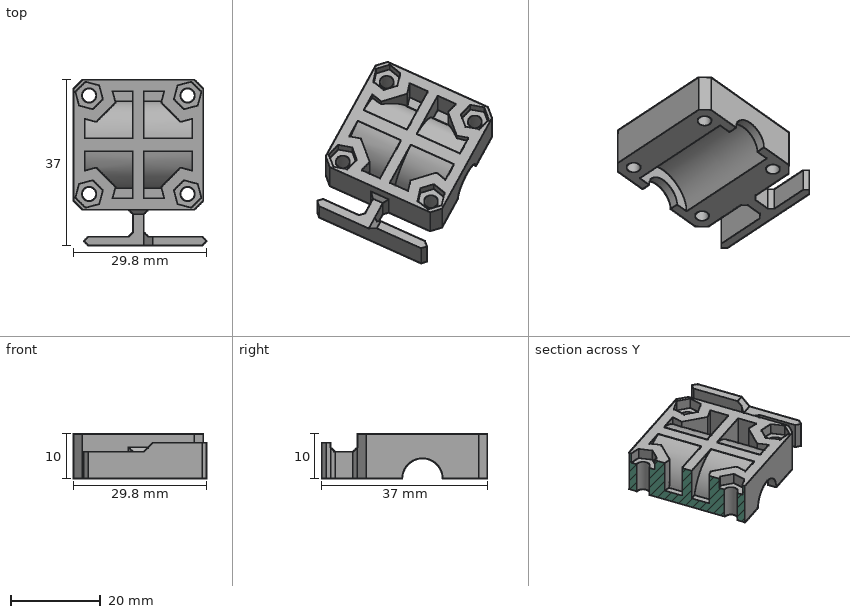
import cadquery as cq

body_side = 29.0
body_height = 10.0
corner_chamfer = 2.0

wall = 2.5
pocket_span = body_side - 2 * wall
shell_radius = body_height
bearing_radius = 7.5
bearing_end_wall = 2.07
bearing_length = body_side - 2 * bearing_end_wall
shaft_radius = 4.48

screw_spacing = 21.98
screw_diameter = 3.1
nut_corner_diameter = 6.35
nut_depth = 2.5
nut_tilt = 15.0
nut_boss_diameter = 12.2

rib_along_x = 2.95
rib_along_y = 2.45
pocket_floor = 2.5

flange_reach = 8.0
plate_thickness = 2.0
plate_left = -12.17
plate_right = 15.25
stem_width = 2.45
stem_height = 6.0
plate_step = 2.0
flare = 1.0

body_front = -body_side / 2
plate_front = body_front - flange_reach
plate_back = plate_front + plate_thickness
stem_half = stem_width / 2


def at_corners(make_shape):
    """Union of make_shape(x_sign, y_sign) over the four corners."""
    shapes = cq.Workplane("XY")
    for x_sign in (-1, 1):
        for y_sign in (-1, 1):
            shapes = shapes.union(make_shape(x_sign, y_sign))
    return shapes


def corner_hexagon(x_sign, y_sign, diameter, bottom):
    """Hexagonal prism on a screw axis, from bottom to the top face, turned so a flat faces the centre."""
    return (
        cq.Workplane("XY")
        .polygon(6, diameter)
        .extrude(body_height - bottom)
        .rotate((0, 0, 0), (0, 0, 1), x_sign * y_sign * nut_tilt)
        .translate((x_sign * screw_spacing / 2, y_sign * screw_spacing / 2, bottom))
    )


def cylinder_x(radius, length):
    """Cylinder along X, centred on the origin."""
    return cq.Workplane("YZ").circle(radius).extrude(length / 2, both=True)


def make_pockets():
    """Four pockets that stop at the bearing shell, the nut bosses and the floor."""
    depth = body_height - pocket_floor
    base = cq.Workplane("XY", origin=(0, 0, pocket_floor))
    pockets = base.rect(pocket_span, pocket_span).extrude(depth)
    pockets = pockets.cut(base.rect(pocket_span, rib_along_x).extrude(depth))
    pockets = pockets.cut(base.rect(rib_along_y, pocket_span).extrude(depth))
    nut_bosses = at_corners(
        lambda x_sign, y_sign: corner_hexagon(x_sign, y_sign, nut_boss_diameter, 0)
    )
    pockets = pockets.cut(nut_bosses)
    return pockets.cut(cylinder_x(shell_radius, body_side))


def make_body():
    body = cq.Workplane("XY").rect(body_side, body_side).extrude(body_height)
    body = body.edges("|Z").chamfer(corner_chamfer)
    body = body.cut(make_pockets())
    body = body.cut(cylinder_x(bearing_radius, bearing_length))
    body = body.cut(cylinder_x(shaft_radius, body_side))
    nut_floor = body_height - nut_depth
    nut_traps = at_corners(
        lambda x_sign, y_sign: corner_hexagon(x_sign, y_sign, nut_corner_diameter, nut_floor)
    )
    body = body.cut(nut_traps)
    screws = (
        cq.Workplane("XY")
        .rect(screw_spacing, screw_spacing, forConstruction=True)
        .vertices()
        .circle(screw_diameter / 2)
        .extrude(body_height)
    )
    return body.cut(screws)


def make_flange():
    """T-shaped plan cut to a stepped height: low on the left, high on the right."""
    point = plate_thickness / 2
    plate_middle = plate_front + point
    plan = (
        cq.Workplane("XY")
        .polyline([
            (-stem_half, body_front),
            (-stem_half, plate_back + flare),
            (-stem_half - flare, plate_back),
            (plate_left + point, plate_back),
            (plate_left, plate_middle),
            (plate_left + point, plate_front),
            (plate_right - point, plate_front),
            (plate_right, plate_middle),
            (plate_right - point, plate_back),
            (stem_half + flare, plate_back),
            (stem_half, plate_back + flare),
            (stem_half, body_front),
        ])
        .close()
        .extrude(stem_height + plate_step)
    )
    elevation = (
        cq.Workplane("XZ", origin=(0, body_front, 0))
        .polyline([
            (plate_left, 0),
            (plate_left, stem_height),
            (stem_half, stem_height),
            (stem_half + plate_step, stem_height + plate_step),
            (plate_right, stem_height + plate_step),
            (plate_right, 0),
        ])
        .close()
        .extrude(flange_reach)
    )
    return plan.intersect(elevation)


def make_stem_root():
    """Flare where the stem meets the body, widening sideways and upwards at 45 degrees."""
    root_half = stem_half + flare
    root_height = stem_height + flare
    return (
        cq.Workplane("XZ", origin=(0, body_front, 0))
        .polyline([(-root_half, 0), (-root_half, root_height), (root_half, root_height), (root_half, 0)])
        .close()
        .workplane(offset=flare)
        .polyline([(-stem_half, 0), (-stem_half, stem_height), (stem_half, stem_height), (stem_half, 0)])
        .close()
        .loft(ruled=True)
    )


result = make_body().union(make_flange()).union(make_stem_root())